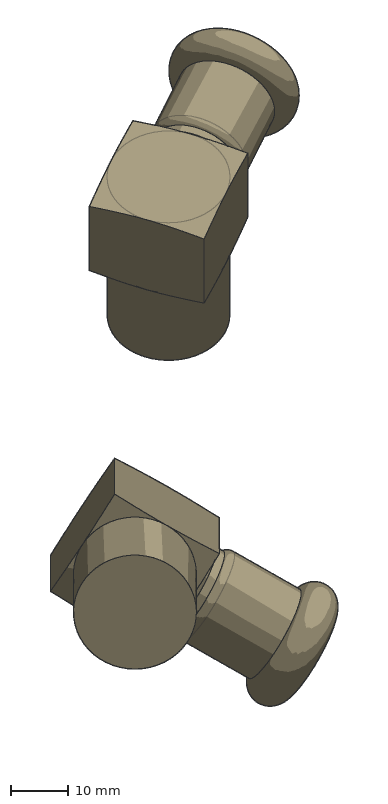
import cadquery as cq
import math


BLOCK_WIDTH = 21.5
BLOCK_HEIGHT = 18.4
CORNER_BEVEL_ANGLE = 10.0
SPIGOT_DIAMETER = BLOCK_WIDTH
SPIGOT_BOTTOM = -27.0

TUBE_RADIUS = 9.0
NECK_RADIUS = 8.2
SHOULDER_RADIUS = 2.0
BEAD_OUTER_RADIUS = 11.95
BEAD_SECTION_RADIUS = 3.75
TUBE_END = 36.0
NECK_START_GAP = 1.0
NECK_LENGTH = 1.6
NECK_FLARE_ANGLE = 30.0


def bevelled_block():
    """Square block whose top and bottom corners are turned to shallow cones."""
    half_width = BLOCK_WIDTH / 2
    half_height = BLOCK_HEIGHT / 2
    corner_radius = half_width * math.sqrt(2)
    bevel_drop = (corner_radius - half_width) * math.tan(math.radians(CORNER_BEVEL_ANGLE))
    turned_radius = 2 * corner_radius - half_width
    turned_edge = half_height - 2 * bevel_drop

    block = cq.Workplane("XY").box(BLOCK_WIDTH, BLOCK_WIDTH, BLOCK_HEIGHT)
    turned_envelope = (
        cq.Workplane("XZ")
        .moveTo(0, -half_height)
        .lineTo(half_width, -half_height)
        .lineTo(turned_radius, -turned_edge)
        .lineTo(turned_radius, turned_edge)
        .lineTo(half_width, half_height)
        .lineTo(0, half_height)
        .close()
        .revolve(360, (0, 0, 0), (0, 1, 0))
    )
    return block.intersect(turned_envelope)


def outlet_spigot():
    """Plain cylinder from the block centre down to the outlet end."""
    return cq.Workplane("XY").circle(SPIGOT_DIAMETER / 2).extrude(SPIGOT_BOTTOM)


def inlet_tube():
    """Tube turned about Y: flared root, neck, rounded shoulder, barrel and round end bead."""
    block_face = BLOCK_WIDTH / 2
    neck_start = block_face + NECK_START_GAP
    neck_end = neck_start + NECK_LENGTH
    root_radius = NECK_RADIUS + NECK_START_GAP * math.tan(math.radians(NECK_FLARE_ANGLE))

    shoulder_sweep = math.acos(1 - (TUBE_RADIUS - NECK_RADIUS) / SHOULDER_RADIUS)
    shoulder_centre = TUBE_RADIUS - SHOULDER_RADIUS
    barrel_start = neck_end + SHOULDER_RADIUS * math.sin(shoulder_sweep)
    shoulder_middle = (
        shoulder_centre + SHOULDER_RADIUS * math.cos(shoulder_sweep / 2),
        barrel_start - SHOULDER_RADIUS * math.sin(shoulder_sweep / 2),
    )

    bead_centre_radius = BEAD_OUTER_RADIUS - BEAD_SECTION_RADIUS
    bead_centre = TUBE_END - BEAD_SECTION_RADIUS
    bead_start = bead_centre - math.sqrt(BEAD_SECTION_RADIUS**2 - (TUBE_RADIUS - bead_centre_radius) ** 2)

    return (
        cq.Workplane("XY")
        .moveTo(0, block_face)
        .lineTo(root_radius, block_face)
        .lineTo(NECK_RADIUS, neck_start)
        .lineTo(NECK_RADIUS, neck_end)
        .threePointArc(shoulder_middle, (TUBE_RADIUS, barrel_start))
        .lineTo(TUBE_RADIUS, bead_start)
        .threePointArc((BEAD_OUTER_RADIUS, bead_centre), (bead_centre_radius, TUBE_END))
        .lineTo(0, TUBE_END)
        .close()
        .revolve(360, (0, 0, 0), (0, 1, 0))
    )


result = bevelled_block().union(outlet_spigot()).union(inlet_tube())